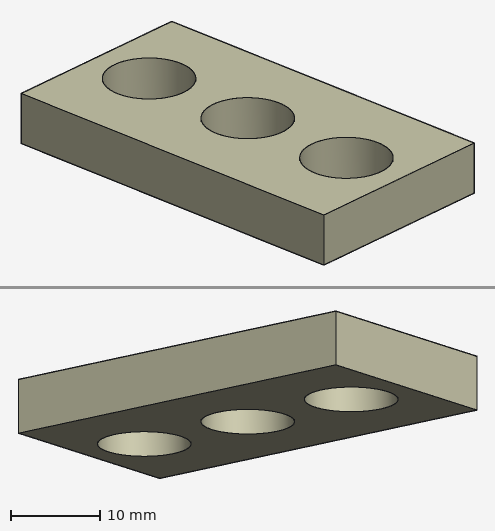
import cadquery as cq

length = 46.0
width = 25.0
thickness = 6.25

hole_count = 3
hole_diameter = 10.5
hole_pitch = 15.0

plate = cq.Workplane("XY").box(length, width, thickness)

result = (
    plate.faces(">Z")
    .workplane()
    .rarray(hole_pitch, 0.45, hole_count, 1)
    .hole(hole_diameter)
)